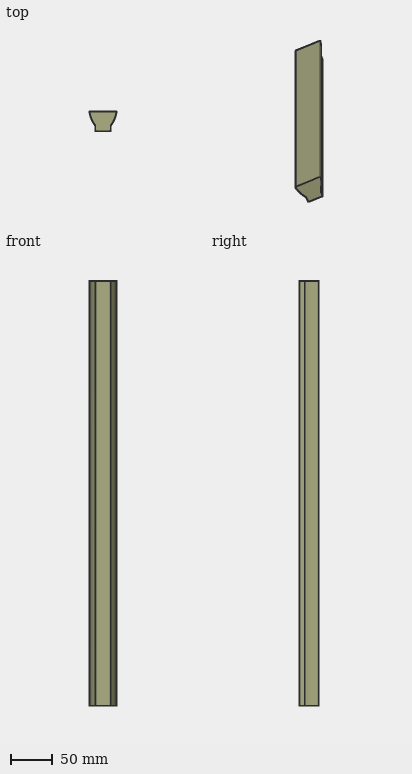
import cadquery as cq
import math

length = 508.0
max_width = 32.64
depth = 23.83

back_corner_radius = 1.3
neck_width = 19.05
neck_start_depth = 17.0
flank_bulge = 0.95
neck_corner_radius = 1.2

back_y = depth / 2
front_y = -depth / 2
widest_y = back_y - back_corner_radius
neck_start_y = back_y - neck_start_depth


def flank_middle():
    """Middle point of the right flank arc, pushed outward from its chord."""
    run = (max_width - neck_width) / 2
    drop = widest_y - neck_start_y
    chord = math.hypot(run, drop)
    middle_x = (max_width + neck_width) / 4
    middle_y = (widest_y + neck_start_y) / 2
    return (middle_x + flank_bulge * drop / chord, middle_y - flank_bulge * run / chord)


def make_bar():
    """Symmetric cross-section extruded along Z."""
    half_back = max_width / 2 - back_corner_radius
    half_max = max_width / 2
    half_neck = neck_width / 2
    half_front = half_neck - neck_corner_radius
    neck_side_end_y = front_y + neck_corner_radius
    middle_x, middle_y = flank_middle()
    return (
        cq.Workplane("XY")
        .moveTo(-half_back, back_y)
        .lineTo(half_back, back_y)
        .radiusArc((half_max, widest_y), back_corner_radius)
        .threePointArc((middle_x, middle_y), (half_neck, neck_start_y))
        .lineTo(half_neck, neck_side_end_y)
        .radiusArc((half_front, front_y), neck_corner_radius)
        .lineTo(-half_front, front_y)
        .radiusArc((-half_neck, neck_side_end_y), neck_corner_radius)
        .lineTo(-half_neck, neck_start_y)
        .threePointArc((-middle_x, middle_y), (-half_max, widest_y))
        .radiusArc((-half_back, back_y), back_corner_radius)
        .close()
        .extrude(length)
    )


result = make_bar()